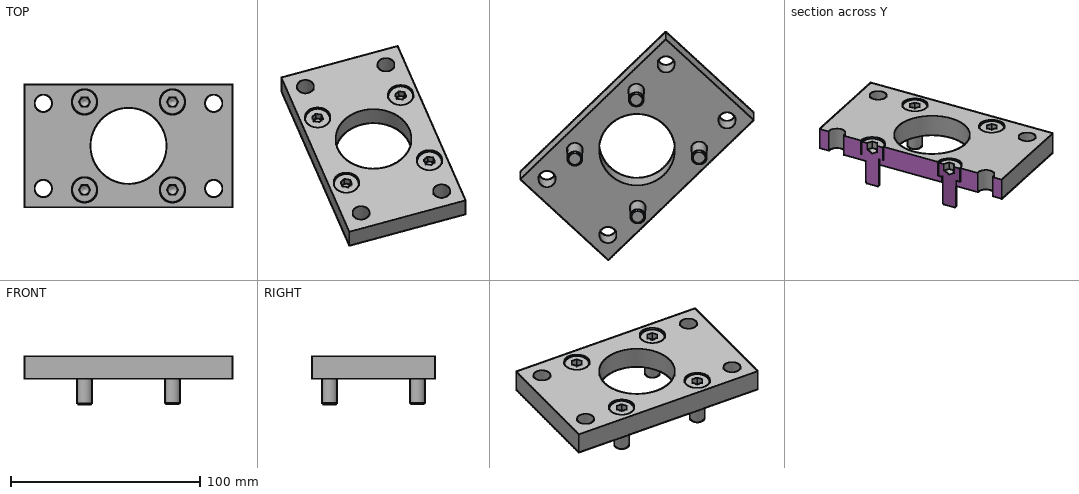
import cadquery as cq
import math

plate_length = 110.0
plate_width = 65.0
plate_thickness = 12.0
bore_diameter = 40.0
mount_hole_diameter = 9.0
mount_spacing_x = 90.0
mount_spacing_y = 45.0

screw_spacing = 46.4
shank_diameter = 8.0
head_diameter = 13.0
head_height = 8.0
head_fillet = 0.9
tip_chamfer = 0.8
screw_projection = 13.3
fixed_screw_sink = 0.2

socket_across_flats = 5.2
socket_depth = 4.0
socket_cone_depth = 1.5

clearance_diameter = 8.5
counterbore_diameter = 13.5
head_recess = 0.3

head_top = plate_thickness - head_recess
head_seat = head_top - head_height
half_spacing = screw_spacing / 2
fixed_screw_place = (-half_spacing, -half_spacing, -fixed_screw_sink)
loose_screw_places = [
    (half_spacing, -half_spacing, 0),
    (-half_spacing, half_spacing, 0),
    (half_spacing, half_spacing, 0),
]


def make_screw(place):
    """Socket head screw, moved from its seated position on the Z axis by the given offset."""
    head = (
        cq.Workplane("XY", origin=(0, 0, head_seat))
        .circle(head_diameter / 2)
        .extrude(head_height)
        .faces(">Z")
        .fillet(head_fillet)
    )
    shank = (
        cq.Workplane("XY", origin=(0, 0, -screw_projection))
        .circle(shank_diameter / 2)
        .extrude(screw_projection + head_seat)
        .faces("<Z")
        .chamfer(tip_chamfer)
    )
    socket_across_corners = socket_across_flats / math.cos(math.pi / 6)
    socket = (
        cq.Workplane("XY", origin=(0, 0, head_top))
        .polygon(6, socket_across_corners)
        .extrude(-socket_depth)
    )
    socket_floor = cq.Workplane(
        cq.Solid.makeCone(
            socket_across_flats / 2,
            0,
            socket_cone_depth,
            pnt=cq.Vector(0, 0, head_top - socket_depth),
            dir=cq.Vector(0, 0, -1),
        )
    )
    screw = head.union(shank).cut(socket).cut(socket_floor)
    return screw.translate(place)


def make_plate():
    """Flange plate with its bore, mounting holes and counterbored screw holes."""
    blank = cq.Workplane("XY").box(
        plate_length, plate_width, plate_thickness, centered=(True, True, False)
    )
    bored = blank.faces(">Z").workplane().hole(bore_diameter)
    drilled = (
        bored.faces(">Z")
        .workplane()
        .rarray(mount_spacing_x, mount_spacing_y, 2, 2)
        .hole(mount_hole_diameter)
    )
    return (
        drilled.faces(">Z")
        .workplane()
        .rarray(screw_spacing, screw_spacing, 2, 2)
        .cboreHole(clearance_diameter, counterbore_diameter, plate_thickness - head_seat)
    )


flange = make_plate().union(make_screw(fixed_screw_place))

screws = [make_screw(place).val() for place in loose_screw_places]

result = cq.Compound.makeCompound([flange.val(), *screws])